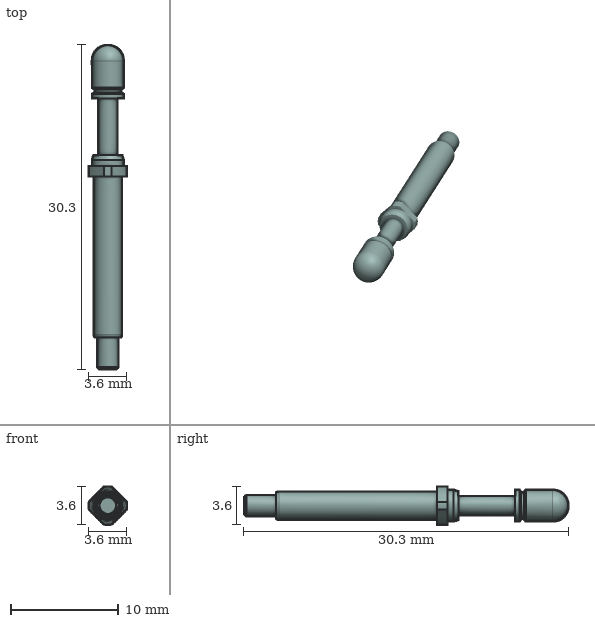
import cadquery as cq


total_length = 30.3
barrel_start = 2.97
flange_start = 18.0
flange_length = 1.0
ring_length = 0.55
ring_shoulder_length = 0.45
head_length = 5.0

pin_diameter = 2.0
barrel_diameter = 2.67
ring_diameter = 3.0
ring_front_diameter = 2.7
stem_diameter = 1.82
head_diameter = 3.0

flange_across_flats = 3.0
flange_corner_diameter = 3.6

pin_chamfer = 0.2
barrel_roll_length = 0.27
barrel_roll_depth = 0.15

groove_diameter = 2.5
rear_collar_length = 0.4
groove_width = 0.6
groove_floor_width = 0.27

flange_end = flange_start + flange_length
ring_end = flange_end + ring_length
stem_start = ring_end + ring_shoulder_length
head_start = total_length - head_length
groove_start = head_start + rear_collar_length
groove_end = groove_start + groove_width
dome_radius = head_diameter / 2
dome_start = total_length - dome_radius


def cylinder(diameter, start, end):
    """Round section on the Y axis between two stations."""
    return cq.Workplane("XZ", origin=(0, start, 0)).circle(diameter / 2).extrude(start - end)


def turned(profile):
    """Revolve a closed (radius, Y) outline about the Y axis."""
    return cq.Workplane("XY").polyline(profile).close().revolve(360, (0, 0, 0), (0, 1, 0))


def rear_pin():
    return cylinder(pin_diameter, 0, barrel_start).faces("<Y").chamfer(pin_chamfer)


def barrel():
    """Barrel whose rear edge is rolled in by an arc tangent to the side."""
    radius = barrel_diameter / 2
    roll_start = barrel_start + barrel_roll_length
    return (
        cq.Workplane("XY")
        .moveTo(0, barrel_start)
        .lineTo(0, flange_start)
        .lineTo(radius, flange_start)
        .lineTo(radius, roll_start)
        .tangentArcPoint((radius - barrel_roll_depth, barrel_start), relative=False)
        .close()
        .revolve(360, (0, 0, 0), (0, 1, 0))
    )


def square_flange():
    """Square set corner-up, trimmed by the corner cylinder."""
    square = (
        cq.Workplane("XY")
        .box(flange_across_flats, flange_length, flange_across_flats)
        .rotate((0, 0, 0), (0, 1, 0), 45)
        .translate((0, flange_start + flange_length / 2, 0))
    )
    return square.intersect(cylinder(flange_corner_diameter, flange_start, flange_end))


def shouldered_ring():
    """Ring ahead of the flange, tapering toward the stem."""
    return turned([
        (0, flange_end),
        (ring_diameter / 2, flange_end),
        (ring_diameter / 2, ring_end),
        (ring_front_diameter / 2, stem_start),
        (0, stem_start),
    ])


def domed_head():
    """Cylindrical head with a hemispherical tip and a neck groove."""
    radius = head_diameter / 2
    floor_radius = groove_diameter / 2
    flank_length = (groove_width - groove_floor_width) / 2
    body = turned([
        (0, head_start),
        (radius, head_start),
        (radius, groove_start),
        (floor_radius, groove_start + flank_length),
        (floor_radius, groove_end - flank_length),
        (radius, groove_end),
        (radius, dome_start),
        (0, dome_start),
    ])
    dome = cq.Workplane("XY", origin=(0, dome_start, 0)).sphere(dome_radius)
    return body.union(dome)


result = (
    rear_pin()
    .union(barrel())
    .union(square_flange())
    .union(shouldered_ring())
    .union(cylinder(stem_diameter, stem_start, head_start))
    .union(domed_head())
)